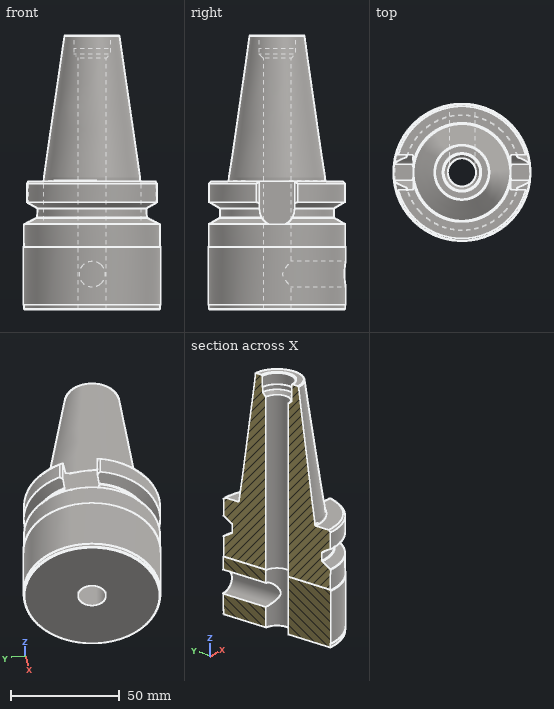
import cadquery as cq
import math

TOTAL_HEIGHT = 126.4
FLANGE_TOP = 59.0
GAUGE_HEIGHT = 60.9
FLANGE_LOWER_EDGE = 49.5
SHOULDER_TOP = 39.2
COLLAR_HEIGHT = 29.0

TAPER_RATIO = 7 / 24
GAUGE_RADIUS = 22.2
SMALL_END_RADIUS = GAUGE_RADIUS - (TOTAL_HEIGHT - GAUGE_HEIGHT) * TAPER_RATIO / 2
SMALL_END_CHAMFER = 0.4
BASE_FILLET = 0.6

BODY_RADIUS = 31.5
NECK_RADIUS = 26.4
GROOVE_ROOT_RADIUS = 26.7
GROOVE_ROOT_HEIGHT = 0.4
FLANGE_CHAMFER = 1.0
SHOULDER_CHAMFER_WIDTH = 0.1
SHOULDER_CHAMFER_HEIGHT = 0.3
GROOVE_ANGLE = 30.0
GROOVE_SLOPE = math.tan(math.radians(GROOVE_ANGLE))
SHOULDER_RADIUS = BODY_RADIUS - SHOULDER_CHAMFER_WIDTH
GROOVE_LOWER_EDGE = SHOULDER_TOP + SHOULDER_CHAMFER_HEIGHT
GROOVE_BOTTOM = GROOVE_LOWER_EDGE + (SHOULDER_RADIUS - GROOVE_ROOT_RADIUS) * GROOVE_SLOPE
GROOVE_TOP = FLANGE_LOWER_EDGE - (BODY_RADIUS - GROOVE_ROOT_RADIUS) * GROOVE_SLOPE

COLLAR_RADIUS = 31.7
COLLAR_CHAMFER = COLLAR_RADIUS - BODY_RADIUS
RIM_HEIGHT = 2.1
RIM_RADIUS = 31.5
RIM_CHAMFER = 0.4

BORE_RADIUS = 6.5
STEP_RADIUS = 8.3
COUNTERBORE_RADIUS = 8.5
COUNTERBORE_DEPTH = 6.1
STEP_DEPTH = 8.6
MOUTH_CHAMFER = 0.5
BORE_CONE_DEPTH = STEP_RADIUS - BORE_RADIUS

SLOT_HALF_WIDTH = 8.1
SLOT_FLOOR = 22.5
SLOT_FILLET = 0.6
SLOT_ROUND_CENTRE = 46.4
SLOT_CORNER_X = 29.3
SLOT_CHAMFER_RUN = 0.5
SLOT_CHAMFER_WIDTH = 1.1

CLAMP_HOLE_RADIUS = 6.0
CLAMP_HOLE_HEIGHT = 16.4

CLEARANCE = 2.5


def make_bore():
    """Stepped axial hole: counterbore and conical lead into the long through bore."""
    cone_top = TOTAL_HEIGHT - STEP_DEPTH
    counterbore_floor = TOTAL_HEIGHT - COUNTERBORE_DEPTH
    return (
        cq.Workplane("XZ")
        .lineTo(BORE_RADIUS, 0)
        .lineTo(BORE_RADIUS, cone_top - BORE_CONE_DEPTH)
        .lineTo(STEP_RADIUS, cone_top)
        .lineTo(STEP_RADIUS, counterbore_floor)
        .lineTo(COUNTERBORE_RADIUS, counterbore_floor)
        .lineTo(COUNTERBORE_RADIUS, TOTAL_HEIGHT - MOUTH_CHAMFER)
        .lineTo(COUNTERBORE_RADIUS + MOUTH_CHAMFER, TOTAL_HEIGHT)
        .lineTo(0, TOTAL_HEIGHT)
        .close()
        .revolve(360, (0, 0, 0), (0, 1, 0))
    )


def make_slot_cutter():
    """Drive slot on the +X side: round-ended, stopped flat at the shoulder."""
    height = FLANGE_TOP + CLEARANCE - SLOT_ROUND_CENTRE
    length = BODY_RADIUS + CLEARANCE - SLOT_FLOOR
    slot = (
        cq.Workplane("YZ", origin=(SLOT_FLOOR, 0, SLOT_ROUND_CENTRE))
        .moveTo(-SLOT_HALF_WIDTH, height)
        .lineTo(-SLOT_HALF_WIDTH, 0)
        .threePointArc((0, -SLOT_HALF_WIDTH), (SLOT_HALF_WIDTH, 0))
        .lineTo(SLOT_HALF_WIDTH, height)
        .close()
        .extrude(length)
        .faces("<X")
        .edges("not >Z")
        .fillet(SLOT_FILLET)
    )
    above_shoulder = (
        cq.Workplane(origin=(0, 0, SHOULDER_TOP))
        .circle(COLLAR_RADIUS + CLEARANCE + SLOT_HALF_WIDTH)
        .extrude(TOTAL_HEIGHT)
    )
    return slot.intersect(above_shoulder)


def make_slot_mouth_cutter():
    """Widens the outer corners of the +X slot where they meet the flange rim."""
    reach = BODY_RADIUS + CLEARANCE
    flare = (reach - SLOT_CORNER_X) * SLOT_CHAMFER_WIDTH / SLOT_CHAMFER_RUN
    return (
        cq.Workplane(origin=(0, 0, GROOVE_BOTTOM))
        .moveTo(SLOT_CORNER_X, -SLOT_HALF_WIDTH)
        .lineTo(reach, -SLOT_HALF_WIDTH - flare)
        .lineTo(reach, SLOT_HALF_WIDTH + flare)
        .lineTo(SLOT_CORNER_X, SLOT_HALF_WIDTH)
        .close()
        .extrude(FLANGE_TOP - GROOVE_BOTTOM)
    )


def make_holder():
    """Taper shank, grooved flange and shoulder, with bore and two drive slots."""
    fillet_mid = BASE_FILLET * (1 - math.sqrt(0.5))
    body = (
        cq.Workplane("XZ")
        .moveTo(0, COLLAR_HEIGHT)
        .lineTo(BODY_RADIUS, COLLAR_HEIGHT)
        .lineTo(BODY_RADIUS, SHOULDER_TOP)
        .lineTo(SHOULDER_RADIUS, GROOVE_LOWER_EDGE)
        .lineTo(GROOVE_ROOT_RADIUS, GROOVE_BOTTOM)
        .lineTo(NECK_RADIUS, GROOVE_BOTTOM + GROOVE_ROOT_HEIGHT)
        .lineTo(NECK_RADIUS, GROOVE_TOP - GROOVE_ROOT_HEIGHT)
        .lineTo(GROOVE_ROOT_RADIUS, GROOVE_TOP)
        .lineTo(BODY_RADIUS, FLANGE_LOWER_EDGE)
        .lineTo(BODY_RADIUS, FLANGE_TOP - FLANGE_CHAMFER)
        .lineTo(BODY_RADIUS - FLANGE_CHAMFER, FLANGE_TOP)
        .lineTo(GAUGE_RADIUS + BASE_FILLET, FLANGE_TOP)
        .threePointArc(
            (GAUGE_RADIUS + fillet_mid, FLANGE_TOP + fillet_mid),
            (GAUGE_RADIUS, FLANGE_TOP + BASE_FILLET),
        )
        .lineTo(GAUGE_RADIUS, GAUGE_HEIGHT)
        .lineTo(SMALL_END_RADIUS, TOTAL_HEIGHT)
        .lineTo(0, TOTAL_HEIGHT)
        .close()
        .revolve(360, (0, 0, 0), (0, 1, 0))
        .faces(">Z")
        .chamfer(SMALL_END_CHAMFER)
    )
    for turn in (0, 180):
        for cutter in (make_slot_cutter(), make_slot_mouth_cutter()):
            body = body.cut(cutter.rotate((0, 0, 0), (0, 0, 1), turn))
    return body.cut(make_bore())


def make_collar():
    """Slightly larger sleeve under the shoulder, with a radial clamp hole on +Y."""
    collar = (
        cq.Workplane("XZ")
        .lineTo(RIM_RADIUS - RIM_CHAMFER, 0)
        .lineTo(RIM_RADIUS, RIM_CHAMFER)
        .lineTo(RIM_RADIUS, RIM_HEIGHT)
        .lineTo(COLLAR_RADIUS, RIM_HEIGHT)
        .lineTo(COLLAR_RADIUS, COLLAR_HEIGHT - COLLAR_CHAMFER)
        .lineTo(COLLAR_RADIUS - COLLAR_CHAMFER, COLLAR_HEIGHT)
        .lineTo(0, COLLAR_HEIGHT)
        .close()
        .revolve(360, (0, 0, 0), (0, 1, 0))
    )
    clamp_hole = (
        cq.Workplane("XZ", origin=(0, 0, CLAMP_HOLE_HEIGHT))
        .circle(CLAMP_HOLE_RADIUS)
        .extrude(-(COLLAR_RADIUS + CLEARANCE))
    )
    return collar.cut(make_bore()).cut(clamp_hole)


holder = make_holder()
collar = make_collar()

result = cq.Compound.makeCompound([holder.val(), collar.val()])